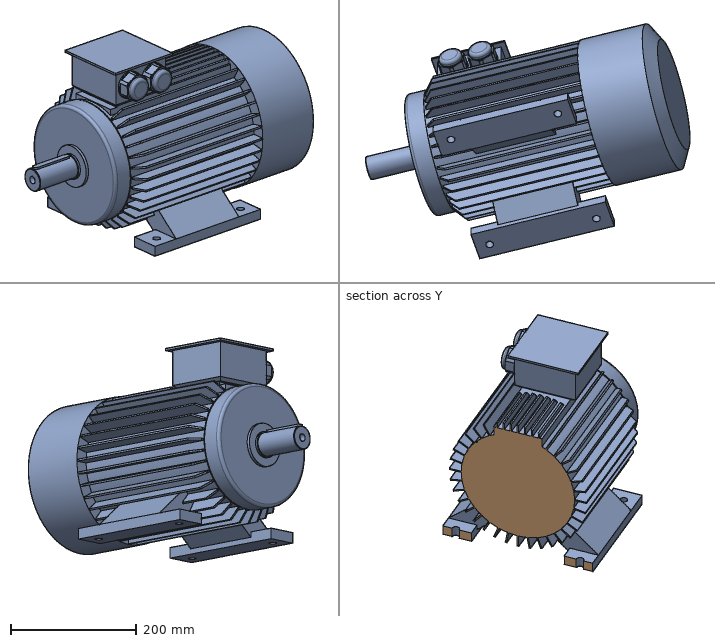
import cadquery as cq
import math


length = 508
shaft_end = 80.0
shoulder_end = 83.5
flange_front = 88.5
flange_back = 121.5
fin_front = 124.5
cover_front = 383.5
cover_cone_start = 491.0

shaft_d = 38.0
shaft_tip_chamfer = 1.0
shoulder_d = 42.0
boss_d = 70.0
flange_d = 200.0
flange_fillet = 5
core_d = 197.0
cover_d = 240.0
cover_rear_d = 181.5
centre_hole_d = 12.0
centre_hole_depth = 10
drill_point_angle = 118

key_width = 10
key_length = 75.0
key_start = 2.0
key_top = 22.0

fin_tip_r = 119.0
fin_thickness = 3.0
fin_pitch_angle = 10
fin_top_angle = 60
fin_cone_length = 14.0
fin_cone_drop = 17.0
fin_root_depth = 5
top_fin_count = 7
top_fin_pitch = 12.0
top_fin_front = 245.5
top_fin_cone_length = 10.5
top_fin_cone_drop = 11.5

pad_width = 84.5
pad_top = 104.5
pad_step = 5
pad_front = 129.0
pad_step_end = 142

box_size = 105.5
box_centre_y = 183.5
box_chamfer = 5.5
lid_size = 122
lid_thickness = 3.5
lid_top = 170.5

gland_spacing = 49.5
gland_z = 138.0
gland_neck_length = 3.0
gland_neck_d = 45.5
gland_hex_flats = 42.0
gland_hex_d = 45.5
gland_hex_length = 17.0
gland_hex_chamfer = 1.0
gland_cap_d = 38.0
gland_cap_length = 9.0
gland_cap_fillet = 5.5

foot_outer_x = 130.0
foot_width = 50.0
foot_height = 17.5
foot_length = 224.0
foot_bottom = -132
foot_centre_y = 258.0
foot_hole_d = 12.0
foot_hole_x = 107.5
foot_hole_spacing = 178
leg_length = 133.0
leg_centre_y = 257.5
leg_angle = 40
leg_inner_drop = 8.5
leg_reach = 84.0


def revolve_about_shaft(points):
    """Solid of revolution about Y from (radius, y) points."""
    return cq.Workplane("XY").polyline(points).close().revolve(360, (0, 0), (0, 1))


def cylinder(diameter, front, back):
    """Cylinder on the shaft axis between two Y stations."""
    return cq.Workplane("XZ", origin=(0, front, 0)).circle(diameter / 2).extrude(front - back)


def block(x_size, y_range, z_range):
    """Box centred on X = 0 between two Y stations and two heights."""
    y_size = y_range[1] - y_range[0]
    z_size = z_range[1] - z_range[0]
    return cq.Workplane("XY").box(x_size, y_size, z_size, centered=(True, False, False)).translate(
        (0, y_range[0], z_range[0])
    )


def make_housing():
    core = cylinder(core_d, flange_front + flange_fillet, cover_front)
    flange = cylinder(flange_d, flange_front, flange_back).faces("<Y").edges().fillet(flange_fillet)
    cover = revolve_about_shaft(
        [
            (0, cover_front),
            (cover_d / 2, cover_front),
            (cover_d / 2, cover_cone_start),
            (cover_rear_d / 2, length),
            (0, length),
        ]
    )
    boss = cylinder(boss_d, shoulder_end, flange_front)
    return core.union(flange).union(cover).union(boss)


def make_shaft():
    shoulder = cylinder(shoulder_d, shaft_end, flange_front)
    shaft = cylinder(shaft_d, 0, flange_front).faces("<Y").chamfer(shaft_tip_chamfer)
    key = (
        cq.Workplane("XY")
        .center(0, key_start + key_length / 2)
        .slot2D(key_length, key_width, 90)
        .extrude(key_top)
    )
    point_depth = centre_hole_d / 2 / math.tan(math.radians(drill_point_angle / 2))
    centre_hole = revolve_about_shaft(
        [
            (0, 0),
            (centre_hole_d / 2, 0),
            (centre_hole_d / 2, centre_hole_depth),
            (0, centre_hole_depth + point_depth),
        ]
    )
    return shaft.union(shoulder).union(key).cut(centre_hole)


def fin_envelope(front, cone_length, cone_drop):
    """Body that trims fins to the tip radius, with a cone at the front."""
    return revolve_about_shaft(
        [
            (0, front),
            (fin_tip_r - cone_drop, front),
            (fin_tip_r, front + cone_length),
            (fin_tip_r, cover_front),
            (0, cover_front),
        ]
    )


def make_radial_fins():
    span = 180 + 2 * fin_top_angle
    count = span // fin_pitch_angle + 1
    root_r = core_d / 2 - fin_root_depth
    blank = block(fin_thickness, (fin_front, cover_front), (root_r, cover_d / 2))
    first_turn = 90 - fin_top_angle
    fins = cq.Workplane("XY")
    for index in range(count):
        turn = first_turn + index * fin_pitch_angle
        fins = fins.add(blank.rotate((0, 0, 0), (0, 1, 0), turn))
    return fins.combine().intersect(fin_envelope(fin_front, fin_cone_length, fin_cone_drop))


def make_pad():
    pad = block(pad_width, (pad_step_end, cover_front), (0, pad_top))
    return pad.union(block(pad_width, (pad_front, pad_step_end), (0, pad_top - pad_step)))


def make_top_fins():
    blank = block(fin_thickness, (top_fin_front, cover_front), (pad_top - pad_step, cover_d / 2))
    fins = cq.Workplane("XY")
    for index in range(top_fin_count):
        x = (index - (top_fin_count - 1) / 2) * top_fin_pitch
        fins = fins.add(blank.translate((x, 0, 0)))
    envelope = fin_envelope(top_fin_front, top_fin_cone_length, top_fin_cone_drop)
    return fins.combine().intersect(envelope)


def make_gland(y):
    """Cable gland: round neck, hexagon nut with rounded corners, and domed cap."""
    start = box_size / 2
    plane = cq.Workplane("YZ", origin=(start, y, gland_z))
    hex_plane = plane.workplane(offset=gland_neck_length)
    hex_corner_d = gland_hex_flats / math.cos(math.radians(30))
    neck = plane.circle(gland_neck_d / 2).extrude(gland_neck_length)
    nut_round = hex_plane.circle(gland_hex_d / 2).extrude(gland_hex_length)
    nut_round = nut_round.faces(">X").chamfer(gland_hex_chamfer)
    nut = (
        hex_plane.transformed(rotate=(0, 0, 90))
        .polygon(6, hex_corner_d)
        .extrude(gland_hex_length)
        .intersect(nut_round)
    )
    cap = (
        hex_plane.workplane(offset=gland_hex_length)
        .circle(gland_cap_d / 2)
        .extrude(gland_cap_length)
        .faces(">X")
        .edges()
        .fillet(gland_cap_fillet)
    )
    return neck.union(nut).union(cap)


def make_terminal_box():
    def centred(size):
        return (box_centre_y - size / 2, box_centre_y + size / 2)

    box = block(box_size, centred(box_size), (pad_top, lid_top)).faces("<Z").chamfer(box_chamfer)
    box = box.union(block(lid_size, centred(lid_size), (lid_top - lid_thickness, lid_top)))
    for side in (-1, 1):
        box = box.union(make_gland(box_centre_y + side * gland_spacing / 2))
    return box


def make_foot():
    """Foot on the +X side: drilled bar and slanted leg running into the core."""
    foot_top = foot_bottom + foot_height
    inner_x = foot_outer_x - foot_width
    bar = (
        cq.Workplane("XY", origin=(foot_outer_x - foot_width / 2, foot_centre_y, foot_bottom))
        .rect(foot_width, foot_length)
        .extrude(foot_height)
    )
    holes = (
        cq.Workplane("XY", origin=(foot_hole_x, foot_centre_y, foot_bottom))
        .rarray(5, foot_hole_spacing, 1, 2)
        .circle(foot_hole_d / 2)
        .extrude(foot_height)
    )
    inner_z = foot_top - leg_inner_drop
    reach_x = leg_reach * math.cos(math.radians(leg_angle))
    reach_z = leg_reach * math.sin(math.radians(leg_angle))
    leg = (
        cq.Workplane("XZ", origin=(0, leg_centre_y + leg_length / 2, 0))
        .moveTo(foot_outer_x, foot_top)
        .lineTo(foot_outer_x - reach_x, foot_top + reach_z)
        .lineTo(inner_x - reach_x, inner_z + reach_z)
        .lineTo(inner_x, inner_z)
        .close()
        .extrude(leg_length)
    )
    return bar.union(leg).cut(holes)


foot = make_foot()
result = (
    make_housing()
    .union(make_shaft())
    .union(make_radial_fins())
    .union(make_pad())
    .union(make_top_fins())
    .union(make_terminal_box())
    .union(foot)
    .union(foot.mirror("YZ"))
)